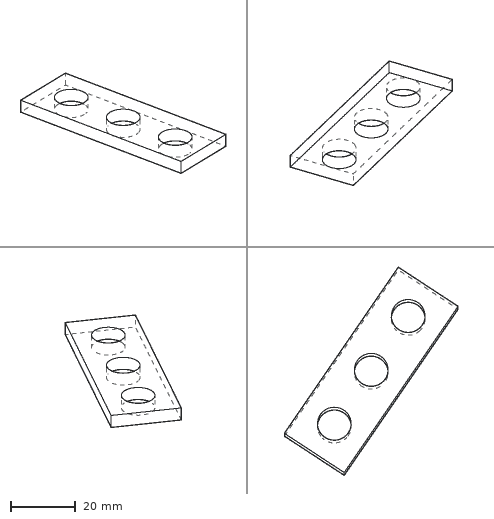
import cadquery as cq

length = 63.5
width = 22.35
thickness = 4.25

hole_diameter = 10.4
hole_count = 3
hole_pitch = 20.6

plate = cq.Workplane("XY").box(length, width, thickness)

result = (
    plate.faces(">Z")
    .workplane()
    .rarray(hole_pitch, 0.65, hole_count, 1)
    .hole(hole_diameter)
)